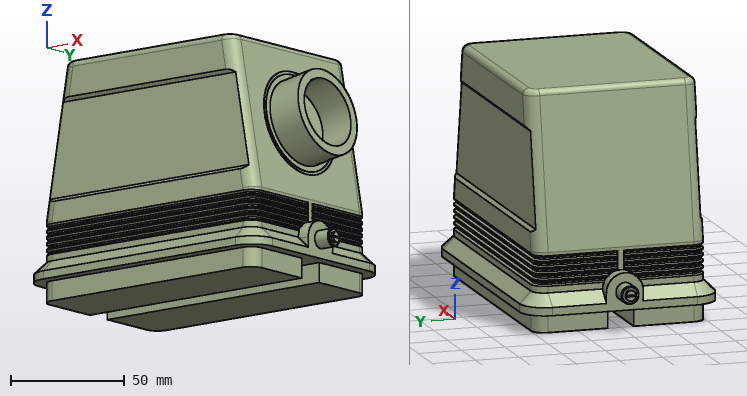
import cadquery as cq
import math

TOTAL_LENGTH = 150.5
TOTAL_HEIGHT = 107.0
BODY_LENGTH = 120.8
BODY_WIDTH = 79.4
CORNER_RADIUS = 6.0
BODY_OUTLINE = (BODY_LENGTH, BODY_WIDTH, CORNER_RADIUS)

SKIRT_HEIGHT = 9.0
SKIRT_NOTCH_WIDTH = 12.0
FLANGE_LENGTH = 132.4
FLANGE_WIDTH = 90.0
FLANGE_CORNER_RADIUS = 11.5
FLANGE_OUTLINE = (FLANGE_LENGTH, FLANGE_WIDTH, FLANGE_CORNER_RADIUS)
FLANGE_EDGE_TOP = 12.7
FLANGE_TOP = 18.0

GROOVE_COUNT = 5
GROOVE_PITCH = 2.84
GROOVE_SIDE_DEPTH = 1.3
GROOVE_END_DEPTH = 0.5
GROOVE_OUTLINE = (
    BODY_LENGTH - 2 * GROOVE_END_DEPTH,
    BODY_WIDTH - 2 * GROOVE_SIDE_DEPTH,
    CORNER_RADIUS - GROOVE_SIDE_DEPTH,
)
GROOVE_FLANK_HEIGHT = 0.8
GROOVE_FLOOR_HEIGHT = 0.8
BAND_BOTTOM = 21.0
BAND_TOP = BAND_BOTTOM + GROOVE_COUNT * GROOVE_PITCH
GROOVE_HEIGHT = 2 * GROOVE_FLANK_HEIGHT + GROOVE_FLOOR_HEIGHT
WEB_WIDTH = 3.0

END_LEAN = 10.0
LEAN_START = 36.4
TOP_EDGE_RADIUS = 3.0
TOP_LENGTH = BODY_LENGTH - 2 * (TOTAL_HEIGHT - LEAN_START) * math.tan(math.radians(END_LEAN))

PANEL_DEPTH = 1.6
PANEL_BOTTOM = 44.6
PANEL_TOP = 90.5

OUTLET_HEIGHT = 71.6
OUTLET_LENGTH = 16.2
OUTLET_DIAMETER = 40.0
OUTLET_BORE = 31.5
SEAL_RING_DIAMETER = 48.0
SEAL_RING_WIDTH = 1.4
SEAL_RING_DEPTH = 0.2
OUTLET_X = BODY_LENGTH / 2 - (OUTLET_HEIGHT - LEAN_START) * math.tan(math.radians(END_LEAN))

PIN_HEIGHT = 17.5
BOSS_RADIUS = 8.5
PIN_DIAMETER = 8.2
PIN_LENGTH = 7.8
PIN_CHAMFER = 0.5
TIP_DIAMETER = 4.8
TIP_SLOT = 0.7
TIP_LENGTH = TOTAL_LENGTH / 2 - FLANGE_LENGTH / 2 - PIN_LENGTH


def rounded_outline(length, width, radius, height):
    outline = cq.Sketch().rect(length, width).vertices().fillet(radius)
    return outline.moved(cq.Location(cq.Vector(0, 0, height)))


def straight_layer(outline, bottom, top):
    return cq.Workplane("XY").placeSketch(rounded_outline(*outline, bottom)).extrude(top - bottom)


def sloped_layer(lower_outline, upper_outline, bottom, top):
    lower = rounded_outline(*lower_outline, bottom)
    upper = rounded_outline(*upper_outline, top)
    return cq.Workplane("XY").placeSketch(lower, upper).loft(ruled=True)


def make_base():
    skirt = straight_layer(BODY_OUTLINE, 0, SKIRT_HEIGHT)
    notch = cq.Workplane("XY").box(BODY_LENGTH, SKIRT_NOTCH_WIDTH, SKIRT_HEIGHT, centered=(True, True, False))
    edge = straight_layer(FLANGE_OUTLINE, SKIRT_HEIGHT, FLANGE_EDGE_TOP)
    slope = sloped_layer(FLANGE_OUTLINE, BODY_OUTLINE, FLANGE_EDGE_TOP, FLANGE_TOP)
    neck = straight_layer(BODY_OUTLINE, FLANGE_TOP, BAND_BOTTOM)
    return skirt.cut(notch).union(edge).union(slope).union(neck)


def make_groove(bottom):
    """Stack from a groove's lower flank up to the land above it."""
    floor_bottom = bottom + GROOVE_FLANK_HEIGHT
    floor_top = floor_bottom + GROOVE_FLOOR_HEIGHT
    flank_top = bottom + GROOVE_HEIGHT
    lower_flank = sloped_layer(BODY_OUTLINE, GROOVE_OUTLINE, bottom, floor_bottom)
    floor = straight_layer(GROOVE_OUTLINE, floor_bottom, floor_top)
    upper_flank = sloped_layer(GROOVE_OUTLINE, BODY_OUTLINE, floor_top, flank_top)
    land = straight_layer(BODY_OUTLINE, flank_top, bottom + GROOVE_PITCH)
    return lower_flank.union(floor).union(upper_flank).union(land)


def make_band():
    band = cq.Workplane("XY").box(BODY_LENGTH, WEB_WIDTH, BAND_TOP - BAND_BOTTOM)
    band = band.translate((0, 0, (BAND_TOP + BAND_BOTTOM) / 2))
    for index in range(GROOVE_COUNT):
        band = band.union(make_groove(BAND_BOTTOM + index * GROOVE_PITCH))
    return band


def make_panel(side):
    """Cutter for one long side, with its top and bottom edges sloping at 45 degrees."""
    face = side * BODY_WIDTH / 2
    floor = face - side * PANEL_DEPTH
    return (
        cq.Workplane("YZ")
        .polyline([
            (face, PANEL_BOTTOM),
            (floor, PANEL_BOTTOM + PANEL_DEPTH),
            (floor, PANEL_TOP - PANEL_DEPTH),
            (face, PANEL_TOP),
        ])
        .close()
        .extrude(BODY_LENGTH / 2, both=True)
    )


def make_shell():
    shell = (
        cq.Workplane("XZ")
        .polyline([
            (-BODY_LENGTH / 2, BAND_TOP),
            (BODY_LENGTH / 2, BAND_TOP),
            (BODY_LENGTH / 2, LEAN_START),
            (TOP_LENGTH / 2, TOTAL_HEIGHT),
            (-TOP_LENGTH / 2, TOTAL_HEIGHT),
            (-BODY_LENGTH / 2, LEAN_START),
        ])
        .close()
        .extrude(BODY_WIDTH / 2, both=True)
    )
    shell = shell.edges("not(|X or |Y)").fillet(CORNER_RADIUS)
    shell = shell.faces(">Z").edges().fillet(TOP_EDGE_RADIUS)
    for side in (-1, 1):
        shell = shell.cut(make_panel(side))
    return shell


def outlet_plane():
    lean = math.radians(END_LEAN)
    return cq.Plane(
        origin=(OUTLET_X, 0, OUTLET_HEIGHT), xDir=(0, 1, 0), normal=(math.cos(lean), 0, math.sin(lean))
    )


def make_outlet():
    return (
        cq.Workplane(outlet_plane())
        .circle(OUTLET_DIAMETER / 2)
        .circle(OUTLET_BORE / 2)
        .extrude(OUTLET_LENGTH)
    )


def make_seal_ring():
    """Cutter for the shallow ring in the wall around the outlet."""
    return (
        cq.Workplane(outlet_plane())
        .circle(SEAL_RING_DIAMETER / 2)
        .circle(SEAL_RING_DIAMETER / 2 - SEAL_RING_WIDTH)
        .extrude(-SEAL_RING_DEPTH)
    )


def make_pin():
    """Boss, pin and slotted tip of the +X end."""
    boss_root = BODY_LENGTH / 2 - CORNER_RADIUS
    boss_end = FLANGE_LENGTH / 2
    pin_end = boss_end + PIN_LENGTH
    axis = cq.Workplane("YZ", origin=(boss_root, 0, PIN_HEIGHT))
    boss = axis.circle(BOSS_RADIUS).extrude(boss_end - boss_root)
    foot_height = PIN_HEIGHT - SKIRT_HEIGHT
    foot = axis.center(0, -foot_height / 2).rect(2 * BOSS_RADIUS, foot_height).extrude(boss_end - boss_root)
    pin = axis.circle(PIN_DIAMETER / 2).extrude(pin_end - boss_root).faces(">X").chamfer(PIN_CHAMFER)
    tip = (
        cq.Workplane("YZ", origin=(pin_end, 0, PIN_HEIGHT))
        .circle(TIP_DIAMETER / 2)
        .extrude(TIP_LENGTH)
    )
    slot = cq.Workplane("XY").box(2 * TIP_LENGTH, TIP_DIAMETER, TIP_SLOT)
    tip = tip.cut(slot.translate((pin_end + TIP_LENGTH, 0, PIN_HEIGHT)))
    return boss.union(foot).union(pin).union(tip)


pin = make_pin()
hood = make_base().union(make_band()).union(make_shell())
hood = hood.cut(make_seal_ring()).union(make_outlet())
result = hood.union(pin).union(pin.mirror("YZ"))